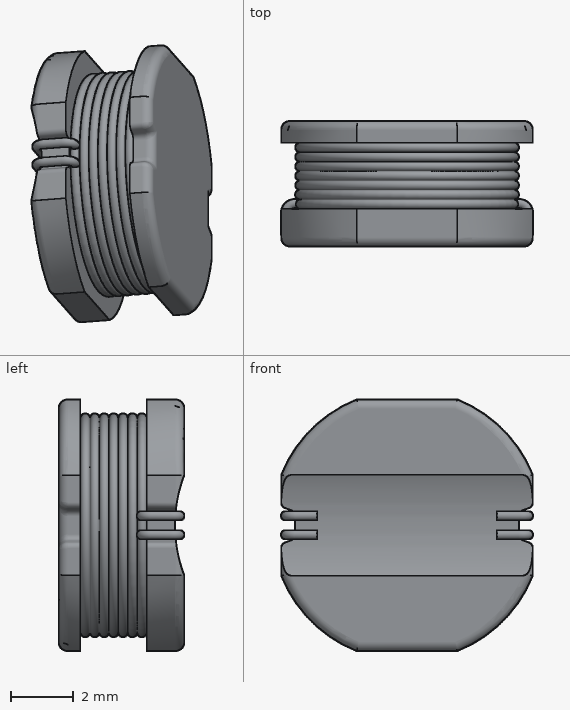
import cadquery as cq
import math


overall_x = 8.02
overall_y = 4.0
flange_width = 8.0
flat_length = 3.19
rim_fillet = 0.3

base_thickness = 1.2
cap_thickness = 0.7

notch_floor_x = 3.56
notch_floor_width = 0.86
notch_flare = 20.0
notch_fillet = 0.2

groove_width = 3.2
groove_depth = 0.3

turns = 7
wire_diameter = 0.3
lead_spacing = 0.6
lead_end_x = 2.855
lead_root_x = 3.21
lead_rise = 0.17

half_width = flange_width / 2
flange_radius = math.hypot(half_width, flat_length / 2)
base_outer_y = -overall_y / 2
base_inner_y = base_outer_y + base_thickness
cap_outer_y = overall_y / 2
cap_inner_y = cap_outer_y - cap_thickness
wire_radius = wire_diameter / 2
turn_pitch = (cap_inner_y - base_inner_y) / turns
winding_radius = notch_floor_x - wire_radius
lead_bend = wire_diameter


def notch(side):
    """Flared notch through the full length, at side -1 (-X) or +1 (+X)."""
    reach = flange_radius - notch_floor_x
    floor_z = notch_floor_width / 2
    mouth_z = floor_z + reach * math.tan(math.radians(notch_flare))
    floor_x = side * notch_floor_x
    mouth_x = side * flange_radius
    corners = [(floor_x, -floor_z), (mouth_x, -mouth_z), (mouth_x, mouth_z), (floor_x, floor_z)]
    return cq.Workplane("XZ").polyline(corners).close().extrude(overall_y, both=True)


def notch_corners():
    """Selector for the eight notch edges that run along Y."""
    half_height = notch_floor_width
    return cq.selectors.BoxSelector(
        (-overall_x, -overall_y, -half_height), (overall_x, overall_y, half_height)
    )


def flange(inner_y, thickness, outer_face):
    """Round plate with four flats, two notches and a rounded outer rim.

    A positive thickness grows towards -Y, a negative one towards +Y.
    """
    plate = cq.Workplane("XZ", origin=(0, inner_y, 0)).circle(flange_radius).extrude(thickness)
    plate = plate.intersect(cq.Workplane("XY").box(flange_width, 2 * overall_y, flange_width))
    for side in (-1, 1):
        plate = plate.cut(notch(side))
    plate = plate.faces(outer_face).edges().fillet(rim_fillet)
    return plate.edges("|Y").edges(notch_corners()).fillet(notch_fillet)


def groove():
    """Shallow cylinder that hollows the base along X."""
    radius = (groove_width**2 / 4 + groove_depth**2) / (2 * groove_depth)
    axis_y = base_outer_y + groove_depth - radius
    return cq.Workplane("YZ").center(axis_y, 0).circle(radius).extrude(overall_x, both=True)


def winding():
    """Core with a row of wire turns, as one revolved profile."""
    profile = cq.Workplane("XY").moveTo(0, base_inner_y).lineTo(winding_radius, base_inner_y)
    for turn in range(turns):
        start_y = base_inner_y + turn * turn_pitch
        crest = (winding_radius + wire_radius, start_y + turn_pitch / 2)
        profile = profile.threePointArc(crest, (winding_radius, start_y + turn_pitch))
    profile = profile.lineTo(0, cap_inner_y).close()
    return profile.revolve(360, (0, 0, 0), (0, 1, 0))


def lead(side, z):
    """Wire that leaves the first turn, passes a notch and folds under the base."""
    start_y = base_inner_y + lead_rise
    end_y = base_outer_y + wire_radius
    outer_x = overall_x / 2 - wire_radius
    bend_x = outer_x - lead_bend
    bend_mid = lead_bend * math.sqrt(0.5)
    path = (
        cq.Workplane("XY", origin=(0, 0, z))
        .moveTo(side * lead_root_x, start_y)
        .lineTo(side * bend_x, start_y)
        .threePointArc(
            (side * (bend_x + bend_mid), start_y - lead_bend + bend_mid),
            (side * outer_x, start_y - lead_bend),
        )
        .lineTo(side * outer_x, end_y + lead_bend)
        .threePointArc(
            (side * (bend_x + bend_mid), end_y + lead_bend - bend_mid),
            (side * bend_x, end_y),
        )
        .lineTo(side * lead_end_x, end_y)
    )
    section = cq.Workplane("YZ", origin=(side * lead_root_x, start_y, z)).circle(wire_radius)
    return section.sweep(path)


base = flange(base_inner_y, base_thickness, "<Y").cut(groove())
cap = flange(cap_inner_y, -cap_thickness, ">Y")

result = winding().union(base).union(cap)
for side in (-1, 1):
    for z in (-lead_spacing / 2, lead_spacing / 2):
        result = result.union(lead(side, z))